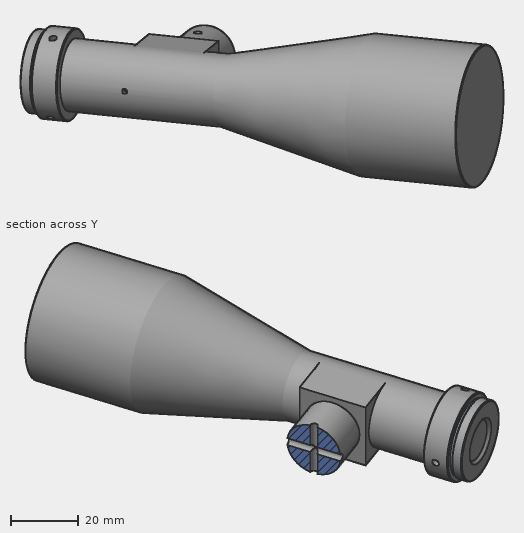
import cadquery as cq
import math

TUBE_DIAMETER = 22.0
HEAD_DIAMETER = 43.0
TOTAL_LENGTH = 141.1
CONE_START = 60.5
CONE_END = 106.0
HEAD_EDGE_CHAMFER = 0.3

RIM_DIAMETER = 25.4
RIM_WIDTH = 3.1
RIM_CHAMFER = 0.3
GROOVE_DIAMETER = 24.6
RING_DIAMETER = 28.0
RING_START = 4.0
RING_WIDTH = 8.1
RING_CHAMFER = 0.3
RING_END = RING_START + RING_WIDTH

WINDOW_DIAMETER = 14.6
DISH_DIAMETER = 12.9
WINDOW_TAPER_DEPTH = 1.0
DISH_DEPTH = 0.4

RING_HOLE_COUNT = 3
RING_HOLE_DIAMETER = 2.3
RING_HOLE_FIRST_ANGLE = 65.0
RING_HOLE_DEPTH = (RING_DIAMETER - TUBE_DIAMETER) / 2

PIN_HOLE_DIAMETER = 1.6
PIN_HOLE_X = 32.5
PIN_HOLE_DEPTH = 2.0

PORT_X = 42.7
BLOCK_SIZE = TUBE_DIAMETER
BLOCK_REACH = 13.2
STUB_DIAMETER = 18.0
STUB_REACH = 33.7
CROSS_HOLE_DIAMETER = 2.4
CROSS_HOLE_Y = 25.7


def drill(start, direction, diameter, depth):
    """Cylinder used as a drilled hole."""
    return cq.Workplane(
        cq.Solid.makeCylinder(diameter / 2, depth, cq.Vector(*start), cq.Vector(*direction))
    )


def make_body():
    """Rim, groove, clamp ring, tube, cone and head as one turned solid."""
    rim_radius = RIM_DIAMETER / 2
    groove_radius = GROOVE_DIAMETER / 2
    ring_radius = RING_DIAMETER / 2
    tube_radius = TUBE_DIAMETER / 2
    head_radius = HEAD_DIAMETER / 2
    dish_edge_x = WINDOW_TAPER_DEPTH
    dish_bottom_x = dish_edge_x + DISH_DEPTH
    dish_edge_radius = DISH_DIAMETER / 2
    sphere_radius = (dish_edge_radius**2 + DISH_DEPTH**2) / (2 * DISH_DEPTH)
    dish_mid_radius = dish_edge_radius / 2
    dish_mid_x = dish_bottom_x - sphere_radius + math.sqrt(sphere_radius**2 - dish_mid_radius**2)
    profile = (
        cq.Workplane("XY")
        .moveTo(dish_bottom_x, 0)
        .threePointArc((dish_mid_x, dish_mid_radius), (dish_edge_x, dish_edge_radius))
        .lineTo(0, WINDOW_DIAMETER / 2)
        .lineTo(0, rim_radius - RIM_CHAMFER)
        .lineTo(RIM_CHAMFER, rim_radius)
        .lineTo(RIM_WIDTH, rim_radius)
        .lineTo(RIM_WIDTH, groove_radius)
        .lineTo(RING_START, groove_radius)
        .lineTo(RING_START, ring_radius - RING_CHAMFER)
        .lineTo(RING_START + RING_CHAMFER, ring_radius)
        .lineTo(RING_END - RING_CHAMFER, ring_radius)
        .lineTo(RING_END, ring_radius - RING_CHAMFER)
        .lineTo(RING_END, tube_radius)
        .lineTo(CONE_START, tube_radius)
        .lineTo(CONE_END, head_radius)
        .lineTo(TOTAL_LENGTH - HEAD_EDGE_CHAMFER, head_radius)
        .lineTo(TOTAL_LENGTH, head_radius - HEAD_EDGE_CHAMFER)
        .lineTo(TOTAL_LENGTH, 0)
        .close()
    )
    return profile.revolve(360, (0, 0, 0), (1, 0, 0))


def make_port():
    """Block and stub on the +Y side, both starting at the tube axis."""
    block = cq.Workplane("XY").box(BLOCK_SIZE, BLOCK_REACH, BLOCK_SIZE, centered=(True, False, True))
    stub = drill((0, 0, 0), (0, 1, 0), STUB_DIAMETER, STUB_REACH)
    return block.union(stub).translate((PORT_X, 0, 0))


def make_cross_holes():
    """Two holes through the stub, along X and along Z."""
    stub_radius = STUB_DIAMETER / 2
    along_x = drill((PORT_X - stub_radius, CROSS_HOLE_Y, 0), (1, 0, 0), CROSS_HOLE_DIAMETER, STUB_DIAMETER)
    along_z = drill((PORT_X, CROSS_HOLE_Y, -stub_radius), (0, 0, 1), CROSS_HOLE_DIAMETER, STUB_DIAMETER)
    return along_x.union(along_z)


def make_ring_holes():
    """Blind radial holes in the middle of the clamp ring."""
    ring_radius = RING_DIAMETER / 2
    ring_middle = (RING_START + RING_END) / 2
    holes = cq.Workplane("XY")
    for index in range(RING_HOLE_COUNT):
        angle = math.radians(RING_HOLE_FIRST_ANGLE + index * 360 / RING_HOLE_COUNT)
        inward = (0, math.cos(angle), -math.sin(angle))
        start = (ring_middle, -ring_radius * math.cos(angle), ring_radius * math.sin(angle))
        holes = holes.add(drill(start, inward, RING_HOLE_DIAMETER, RING_HOLE_DEPTH))
    return holes.combine()


def make_pin_hole():
    """Blind hole in the -Y side of the tube."""
    return drill((PIN_HOLE_X, -TUBE_DIAMETER / 2, 0), (0, 1, 0), PIN_HOLE_DIAMETER, PIN_HOLE_DEPTH)


result = (
    make_body()
    .union(make_port())
    .cut(make_cross_holes())
    .cut(make_ring_holes())
    .cut(make_pin_hole())
)